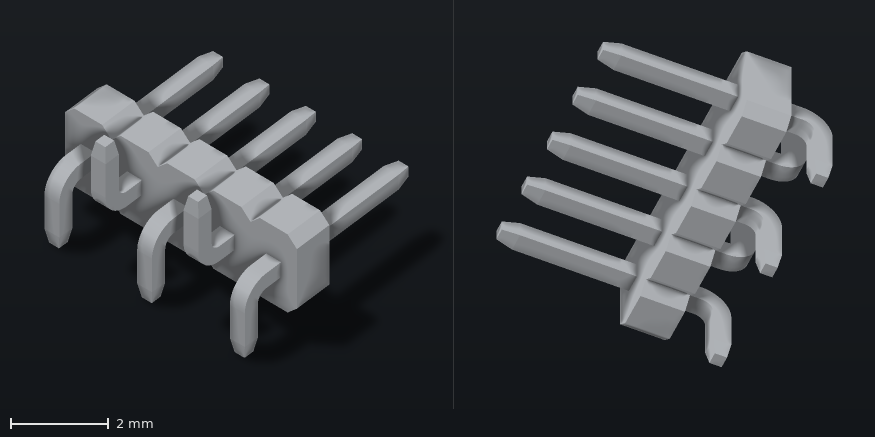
import cadquery as cq

pin_count = 5
row_length = 6.35
pitch = row_length / pin_count

block_height = 2.135
block_depth = 1.0
block_chamfer = 0.255

pin_width = 0.405
pin_half = pin_width / 2
mating_length = 3.0
tail_overhang = 1.12
tail_span = 3.51
bend_inner_radius = 0.255
bend_outer_radius = bend_inner_radius + pin_width
tip_length = 0.38
tip_width = 0.27

tail_y = -tail_overhang + pin_half
bend_start_y = -tail_overhang + bend_outer_radius
bend_end_height = bend_outer_radius - pin_half
mating_shoulder_y = block_depth + mating_length - tip_length
tail_shoulder = tail_span / 2 - tip_length


def make_block(x):
    """Block with four chamfered long edges and a square hole for its pin."""
    block = (
        cq.Workplane("XY")
        .box(pitch, block_depth, block_height)
        .edges("|Y")
        .chamfer(block_chamfer)
    )
    hole = cq.Workplane("XY").box(pin_width, block_depth, pin_width)
    return block.cut(hole).translate((x, block_depth / 2, 0))


def make_tip(base_center, direction):
    """Square tip that narrows from the pin section along the given direction."""
    base = cq.Plane(origin=base_center, xDir=(1, 0, 0), normal=direction)
    return (
        cq.Workplane(base)
        .rect(pin_width, pin_width)
        .workplane(offset=tip_length)
        .rect(tip_width, tip_width)
        .loft(ruled=True)
    )


def make_pin(x, side):
    """Bent pin whose tail points up (side = 1) or down (side = -1)."""
    shaft_outer = -side * pin_half
    shaft_inner = side * pin_half
    bend_end = side * bend_end_height
    tail_end = side * tail_shoulder
    body = (
        cq.Workplane("YZ")
        .moveTo(mating_shoulder_y, shaft_outer)
        .lineTo(bend_start_y, shaft_outer)
        .radiusArc((tail_y - pin_half, bend_end), side * bend_outer_radius)
        .lineTo(tail_y - pin_half, tail_end)
        .lineTo(tail_y + pin_half, tail_end)
        .lineTo(tail_y + pin_half, bend_end)
        .radiusArc((bend_start_y, shaft_inner), -side * bend_inner_radius)
        .lineTo(mating_shoulder_y, shaft_inner)
        .close()
        .extrude(pin_half, both=True)
    )
    mating_tip = make_tip((0, mating_shoulder_y, 0), (0, 1, 0))
    tail_tip = make_tip((0, tail_y, tail_end), (0, 0, side))
    return body.union(mating_tip).union(tail_tip).translate((x, 0, 0))


blocks = []
pins = []
for index in range(pin_count):
    x = (index - (pin_count - 1) / 2) * pitch
    side = -1 if index % 2 == 0 else 1
    blocks.append(make_block(x).val())
    pins.append(make_pin(x, side).val())

result = cq.Compound.makeCompound([*blocks, *pins])